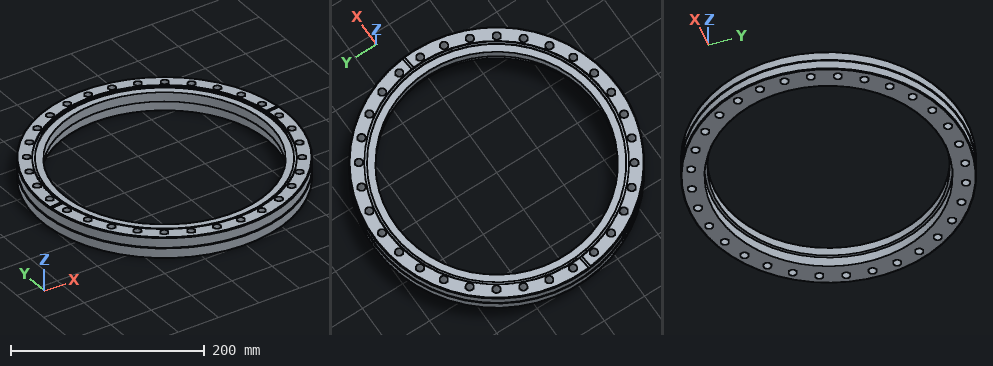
import cadquery as cq
import math

outer_radius = 152.5
bore_radius = 125.0
height = 26.0
edge_chamfer = 1.0
half_height = height / 2

rim_groove_depth = 0.5
rim_groove_half_width = 0.5

socket_radius = 128.0

recess_radius = 136.5
knife_radius = 133.8
recess_depth = 1.8
knife_tip_depth = 1.0
seat_depth = 1.5
knife_inner_slope = 70.0

bolt_count = 32
bolt_circle_radius = 142.0
bolt_diameter = 8.5
bolt_pitch = 360 / bolt_count

leak_groove_width = 2.7
leak_groove_depth = 0.5
leak_groove_start = 1.5
leak_groove_angles = (bolt_pitch / 2, bolt_pitch / 2 + 180)


def ring_section():
    """Cross-section of the ring, X being the radius and Y the height."""
    seat_radius = knife_radius - (seat_depth - knife_tip_depth) / math.tan(math.radians(knife_inner_slope))
    return (
        cq.Workplane("XZ")
        .moveTo(bore_radius, 0)
        .lineTo(socket_radius, 0)
        .lineTo(socket_radius, -half_height)
        .lineTo(outer_radius - edge_chamfer, -half_height)
        .lineTo(outer_radius, -half_height + edge_chamfer)
        .lineTo(outer_radius, -rim_groove_half_width)
        .lineTo(outer_radius - rim_groove_depth, 0)
        .lineTo(outer_radius, rim_groove_half_width)
        .lineTo(outer_radius, half_height - edge_chamfer)
        .lineTo(outer_radius - edge_chamfer, half_height)
        .lineTo(recess_radius, half_height)
        .lineTo(recess_radius, half_height - recess_depth)
        .lineTo(knife_radius, half_height - knife_tip_depth)
        .lineTo(seat_radius, half_height - seat_depth)
        .lineTo(bore_radius, half_height - seat_depth)
        .close()
    )


def leak_groove(angle):
    """Radial round-bottomed cutter running from inside the recess to beyond the rim."""
    groove_radius = leak_groove_width**2 / (8 * leak_groove_depth) + leak_groove_depth / 2
    axis_height = half_height - leak_groove_depth + groove_radius
    return (
        cq.Workplane("YZ")
        .workplane(offset=knife_radius + leak_groove_start)
        .center(0, axis_height)
        .circle(groove_radius)
        .extrude(outer_radius - knife_radius)
        .rotate((0, 0, 0), (0, 0, 1), angle)
    )


ring = ring_section().revolve(360, (0, 0, 0), (0, 1, 0))
for groove_angle in leak_groove_angles:
    ring = ring.cut(leak_groove(groove_angle))

bolt_holes = (
    cq.Workplane("XY")
    .workplane(offset=-half_height)
    .polarArray(bolt_circle_radius, 0, 360, bolt_count)
    .circle(bolt_diameter / 2)
    .extrude(height)
)

result = ring.cut(bolt_holes)